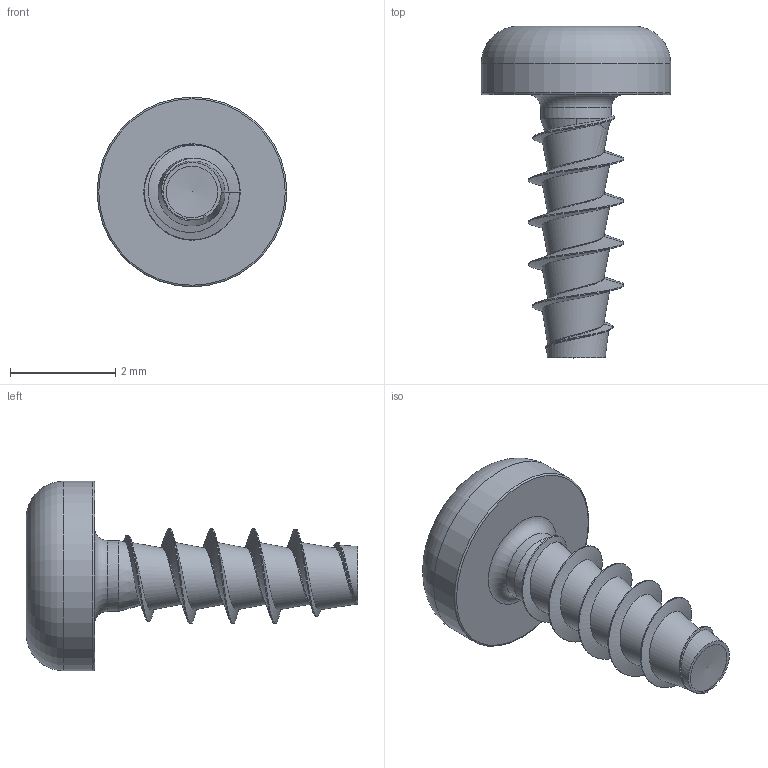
import cadquery as cq
import math


head_radius = 1.8
head_height = 1.3
head_crown_radius = 0.715
head_rim_fillet = 0.03

neck_radius = 0.675
neck_fillet = 0.24
neck_end = 0.45
neck_taper_end = 1.0

shank_length = 5.0
core_radius = 0.52
ramp_peak_radius = 0.645
ramp_end_radius = 0.532
tip_cone_slope = 0.18

dish_radius = 0.49
dish_depth = 0.03

pitch = 0.8
thread_radius = 0.905
thread_start = 0.42
crest_half_width = 0.01
head_flank_slope = 0.3
tip_flank_slope = 0.19
start_radius = 0.73
end_radius = 0.55
rise_turns = 1.0
fade_start_turns = 4.2
thread_turns = 5.6
least_ridge_depth = 0.005

buried_radius = 0.49
turn_gap = 0.01
points_per_turn = 16


def crest_radius(turn):
    """Radius of the thread crest after a number of turns."""
    rise = min(turn / rise_turns, 1.0)
    fade = min(max((turn - fade_start_turns) / (thread_turns - fade_start_turns), 0.0), 1.0)
    return start_radius + (thread_radius - start_radius) * rise - (thread_radius - end_radius) * fade


def root_radius(turn):
    """Radius at the foot of the ridge, where the ramp is highest."""
    distance_to_tip = max(shank_length - thread_start - pitch * turn, 0.0)
    cone_radius = core_radius + tip_cone_slope * distance_to_tip
    return min(ramp_peak_radius, cone_radius, crest_radius(turn) - least_ridge_depth)


def head_edge_offset(turn):
    """Axial offset of the ridge's buried edge on the head side, measured from the crest."""
    return -crest_half_width - head_flank_slope * (crest_radius(turn) - buried_radius)


def thread_section(turn):
    """Corners (radius, axial offset) of the ridge and its ramp, ending just short of the next turn."""
    crest = crest_radius(turn)
    root = root_radius(turn)
    ramp_end = pitch + head_edge_offset(turn + 1) - turn_gap
    return [
        (buried_radius, head_edge_offset(turn)),
        (crest, -crest_half_width),
        (crest, crest_half_width),
        (root, crest_half_width + tip_flank_slope * (crest - root)),
        (min(ramp_end_radius, root), ramp_end),
        (buried_radius, ramp_end),
    ]


def make_thread_turn(first_turn):
    """One full turn of the ridge and its ramp; single turns join to the core reliably."""
    turns = [first_turn + i / points_per_turn for i in range(points_per_turn + 1)]

    def corner_point(turn, corner):
        radius, offset = thread_section(turn)[corner]
        angle = 2 * math.pi * turn
        height = thread_start + pitch * turn + offset
        return cq.Vector(radius * math.cos(angle), radius * math.sin(angle), height)

    corners = range(len(thread_section(first_turn)))
    rails = [cq.Edge.makeSpline([corner_point(turn, c) for turn in turns]) for c in corners]
    faces = [cq.Face.makeRuledSurface(rails[c - 1], rails[c]) for c in corners]
    for turn in (turns[0], turns[-1]):
        outline = cq.Wire.makePolygon([corner_point(turn, c) for c in corners], close=True)
        faces.append(cq.Face.makeFromWires(outline))
    solid = cq.Solid.makeSolid(cq.Shell.makeShell(faces))
    return cq.Workplane(solid.fix())


def arc_middle(center, radius, outward, upward):
    """Midpoint of a quarter arc; outward and upward are +1 or -1."""
    shift = radius * math.sqrt(0.5)
    return (center[0] + outward * shift, center[1] + upward * shift)


def make_head_and_neck():
    """Head, neck and plain core, revolved from one half profile of (radius, height) points."""
    crown_center = (head_radius - head_crown_radius, head_crown_radius - head_height)
    rim_center = (head_radius - head_rim_fillet, -head_rim_fillet)
    fillet_center = (neck_radius + neck_fillet, neck_fillet)
    return (
        cq.Workplane("YZ")
        .moveTo(0, -head_height)
        .lineTo(crown_center[0], -head_height)
        .threePointArc(arc_middle(crown_center, head_crown_radius, 1, -1), (head_radius, crown_center[1]))
        .lineTo(head_radius, rim_center[1])
        .threePointArc(arc_middle(rim_center, head_rim_fillet, 1, 1), (rim_center[0], 0))
        .lineTo(fillet_center[0], 0)
        .threePointArc(arc_middle(fillet_center, neck_fillet, -1, -1), (neck_radius, neck_fillet))
        .lineTo(neck_radius, neck_end)
        .lineTo(core_radius, neck_taper_end)
        .lineTo(core_radius, shank_length)
        .lineTo(0, shank_length)
        .close()
        .revolve(360, (0, 0), (0, 1))
    )


def make_tip_trim():
    """Material to remove: the thread that runs past the tip, and the dish in the tip."""
    return (
        cq.Workplane("YZ")
        .moveTo(0, shank_length - dish_depth)
        .lineTo(dish_radius, shank_length)
        .lineTo(thread_radius, shank_length)
        .lineTo(thread_radius, shank_length + 2 * pitch)
        .lineTo(0, shank_length + 2 * pitch)
        .close()
        .revolve(360, (0, 0), (0, 1))
    )


screw = make_head_and_neck()
for turn in range(math.ceil(thread_turns)):
    screw = screw.union(make_thread_turn(turn))
screw = screw.cut(make_tip_trim())
result = screw.rotate((0, 0, 0), (1, 0, 0), 90)